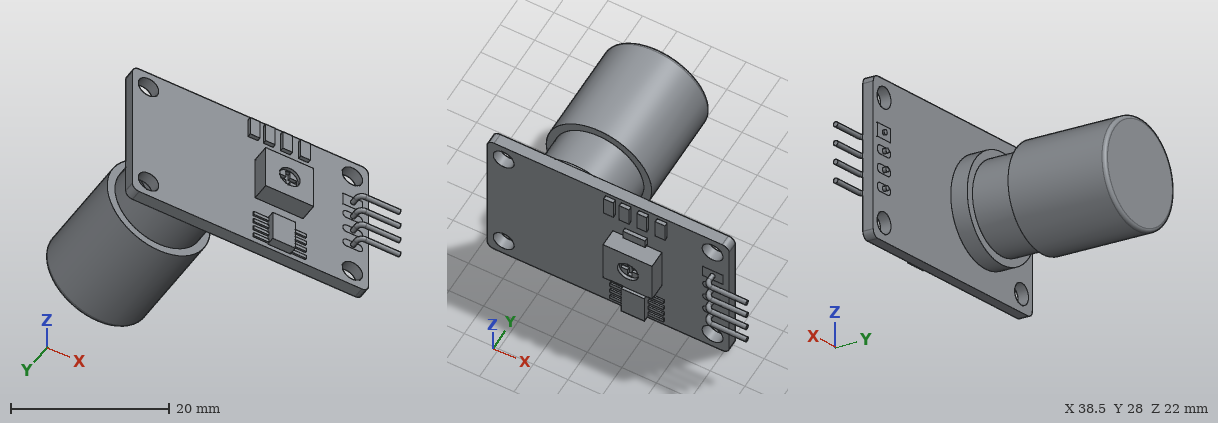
import cadquery as cq

board_width = 35.0
board_height = 22.0
board_thickness = 1.6
board_corner_radius = 1.0

mount_hole_diameter = 3.0
mount_hole_pitch_x = 30.2
mount_hole_pitch_z = 16.95

chip_thickness = 0.55
resistor_width = 1.43
resistor_height = 2.95
resistor_center_z = 19.93
resistor_centers_x = [17.85, 20.1, 22.65, 25.32]
lying_chip_width = 3.25
lying_chip_height = 1.35
lying_chip_center = (21.55, 15.75)

trimmer_width = 7.1
trimmer_height = 6.82
trimmer_depth = 2.55
trimmer_center = (21.75, 11.4)
dial_center = (21.78, 11.45)
dial_diameter = 3.0
dial_depth = 0.45
slot_length = 2.55
slot_width = 0.6
slot_depth = 0.45

ic_width = 3.35
ic_height = 4.65
ic_depth = 1.2
ic_center = (21.75, 3.0)
leg_count = 4
leg_pitch = 1.27
leg_width = 0.55
leg_thickness = 0.25
leg_span = 7.8

sensor_center_x = 10.33
sensor_diameter = 15.25
neck_diameter = 13.0
flange_length = 2.55
neck_length = 6.3
cap_length = 15.0
cap_rim_radius = 0.5

pin_count = 4
pin_pitch = 2.55
top_pin_z = 14.75
pin_x = 32.65
pin_diameter = 0.7
pin_bend_radius = 0.8
pin_standoff = 1.7
pin_end_x = 38.55
pin_tip_length = 0.55
top_pin_tip_length = 0.27
pad_width = 2.93
pad_height = 1.2
top_pad_height = 1.9


def face_plane(y=0):
    """Plane parallel to the board face, on which extrusion goes forward, toward -Y."""
    return cq.Workplane("XZ", origin=(0, y, 0))


def block(center, width, height, depth, y=0):
    """Box whose back face lies at y and which stands forward from it."""
    return face_plane(y).center(*center).rect(width, height).extrude(depth)


def make_trimmer():
    """Trimmer box with its dial recess and cross slot cut into the front."""
    dial_floor_y = dial_depth - trimmer_depth
    slot_floor_y = dial_floor_y + slot_depth
    body = block(trimmer_center, trimmer_width, trimmer_height, trimmer_depth)
    dial = face_plane(dial_floor_y).center(*dial_center).circle(dial_diameter / 2).extrude(dial_depth)
    upright_slot = block(dial_center, slot_width, slot_length, slot_depth, slot_floor_y)
    level_slot = block(dial_center, slot_length, slot_width, slot_depth, slot_floor_y)
    return body.cut(dial).cut(upright_slot).cut(level_slot)


def make_ic():
    """Chip body with rows of flat legs that lie on the board."""
    ic_x, ic_z = ic_center
    ic = block(ic_center, ic_width, ic_height, ic_depth)
    for index in range(leg_count):
        leg_z = ic_z + (index - (leg_count - 1) / 2) * leg_pitch
        ic = ic.union(block((ic_x, leg_z), leg_span, leg_width, leg_thickness))
    return ic


def make_pad(index):
    """Pad of one pin, as thick as the board: a rectangle for the top pin, round-ended for the rest."""
    pad_plane = face_plane(board_thickness).center(pin_x, top_pin_z - index * pin_pitch)
    if index == 0:
        outline = pad_plane.rect(pad_width, top_pad_height)
    else:
        outline = pad_plane.slot2D(pad_width, pad_height)
    return outline.extrude(board_thickness)


def make_pin(index):
    """Round wire through the board that bends toward +X in front of it, joined to its pad."""
    pin_z = top_pin_z - index * pin_pitch
    tip_length = top_pin_tip_length if index == 0 else pin_tip_length
    tip_y = board_thickness + tip_length
    bend_start_y = pin_bend_radius - pin_standoff
    path = (
        cq.Workplane("XY", origin=(pin_x, 0, pin_z))
        .moveTo(0, tip_y)
        .lineTo(0, bend_start_y)
        .radiusArc((pin_bend_radius, -pin_standoff), -pin_bend_radius)
        .lineTo(pin_end_x - pin_x, -pin_standoff)
    )
    wire = face_plane(tip_y).center(pin_x, pin_z).circle(pin_diameter / 2).sweep(path)
    return wire.union(make_pad(index))


def make_board():
    """Board with the soldered components on its front face."""
    board_center = (board_width / 2, board_height / 2)
    board = block(board_center, board_width, board_height, board_thickness, board_thickness)
    board = board.edges("|Y").fillet(board_corner_radius)
    mount_holes = (
        face_plane(board_thickness)
        .center(*board_center)
        .rect(mount_hole_pitch_x, mount_hole_pitch_z, forConstruction=True)
        .vertices()
        .circle(mount_hole_diameter / 2)
        .extrude(board_thickness)
    )
    board = board.cut(mount_holes)
    for index in range(pin_count):
        board = board.cut(make_pad(index))
    for resistor_x in resistor_centers_x:
        board = board.union(
            block((resistor_x, resistor_center_z), resistor_width, resistor_height, chip_thickness)
        )
    board = board.union(block(lying_chip_center, lying_chip_width, lying_chip_height, chip_thickness))
    return board.union(make_trimmer()).union(make_ic())


def make_sensor():
    """Stepped round can that stands on the back face of the board."""
    base = face_plane(board_thickness).center(sensor_center_x, board_height / 2)
    flange = base.circle(sensor_diameter / 2).extrude(-flange_length)
    neck = flange.faces(">Y").workplane().circle(neck_diameter / 2).extrude(neck_length)
    cap = neck.faces(">Y").workplane().circle(sensor_diameter / 2).extrude(cap_length)
    return cap.faces(">Y").edges().fillet(cap_rim_radius)


board = make_board()
sensor = make_sensor()
pins = [make_pin(index) for index in range(pin_count)]

result = cq.Compound.makeCompound([board.val(), sensor.val(), *[pin.val() for pin in pins]])